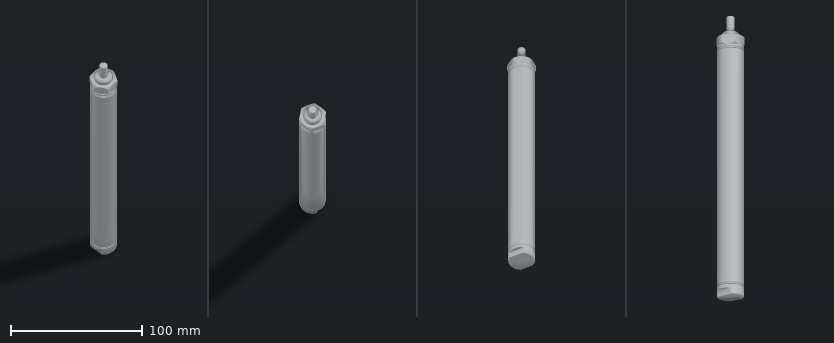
import cadquery as cq

total_length = 222.5
body_diameter = 20.5
body_radius = body_diameter / 2

nut_corner_diameter = 22.0
nut_height = 8.0
nut_bottom = 198.7
nut_chamfer_diameter = 19.0
nut_bore_diameter = 14.0

neck_diameter = 13.0
neck_top = 210.0
neck_chamfer = 1.1

rod_diameter = 6.0
rod_depth_in_body = 15.5
rod_chamfer = 0.5

groove_width = 1.0
groove_depth = groove_width / 2
groove_pitch = 1.3
groove_count = 2
front_groove_top = 197.1
rear_groove_top = 10.0

flat_spacing = 16.0
flat_height = 5.3
rear_chamfer = 0.78


def cylinder(diameter, bottom, top):
    return cq.Workplane("XY").workplane(offset=bottom).circle(diameter / 2).extrude(top - bottom)


def crimp_groove(top):
    """Ring with a V-shaped section whose root lies groove_depth below the body surface."""
    return (
        cq.Workplane("XZ")
        .moveTo(body_radius, top)
        .lineTo(body_radius - groove_depth, top - groove_width / 2)
        .lineTo(body_radius, top - groove_width)
        .close()
        .revolve(360, (0, 0, 0), (0, 1, 0))
    )


def make_body():
    body = cylinder(body_diameter, 0, nut_bottom).faces("<Z").chamfer(rear_chamfer)
    for first_top in (front_groove_top, rear_groove_top):
        for index in range(groove_count):
            body = body.cut(crimp_groove(first_top - index * groove_pitch))

    between_flats = cq.Workplane("XY").rect(2 * body_diameter, flat_spacing).extrude(flat_height)
    outside_flats = cq.Workplane("XY").rect(2 * body_diameter, 2 * body_diameter).extrude(flat_height)
    body = body.cut(outside_flats.cut(between_flats))

    neck = cylinder(neck_diameter, nut_bottom, neck_top).faces(">Z").chamfer(neck_chamfer)
    rod_hole = cylinder(rod_diameter, neck_top - rod_depth_in_body, neck_top)
    return body.union(neck).cut(rod_hole)


def make_nut():
    hexagon = (
        cq.Workplane("XY").workplane(offset=nut_bottom)
        .polygon(6, nut_corner_diameter).extrude(nut_height)
        .rotate((0, 0, 0), (0, 0, 1), 90)
    )
    chamfer = (nut_corner_diameter - nut_chamfer_diameter) / 2
    envelope = cylinder(nut_corner_diameter, nut_bottom, nut_bottom + nut_height)
    envelope = envelope.faces(">Z").chamfer(chamfer)
    envelope = envelope.faces("<Z").chamfer(chamfer)
    bore = cylinder(nut_bore_diameter, nut_bottom, nut_bottom + nut_height)
    return hexagon.intersect(envelope).cut(bore)


def make_rod():
    return cylinder(rod_diameter, neck_top - rod_depth_in_body, total_length).faces(">Z").chamfer(rod_chamfer)


body = make_body()
nut = make_nut()
rod = make_rod()

result = cq.Compound.makeCompound([body.val(), nut.val(), rod.val()])